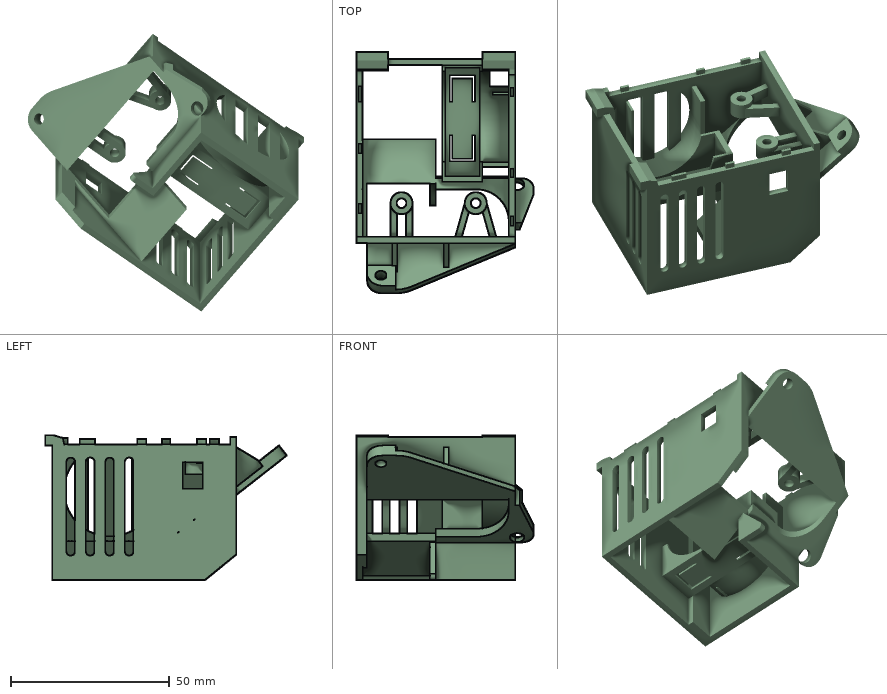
import cadquery as cq
import math

BODY_X = 50.25
BODY_Y = 58.2
WALL = 2.0
RIGHT_WALL = 2.15
RIGHT_INNER_X = BODY_X - RIGHT_WALL
BACK_INNER_Y = BODY_Y - WALL
SHELL_TOP = 42.9
FRONT_TOP = 45.3
CHAMFER_Y = 9.95
CHAMFER_Z = 8.1
CORNER_FILL_X = 3.35
CORNER_FILL_Y = 5.2

SLOPE = math.radians(38)
PLATE_T = 2.0
PLATE_FRONT_Z = 26.95
PLATE_RISE = PLATE_T / math.cos(SLOPE)
PLATE_SHIFT = PLATE_T * math.sin(SLOPE)
TRAY_RIGHT_X = 25.1
TRAY_END_Y = 32.8

CROSS_FRONT_Y = 19.3
CROSS_BACK_Y = 21.1
CROSS_TOP = 13.4

AXIS_Y = 39.95
AXIS_Z = 28.27
TROUGH_R = 14.45
TROUGH_WALL = 1.5
TROUGH_FRONT_TOP = 39.3
BOX_X0 = 27.1
BOX_X1 = 39.8
BOX_LIP = 0.9
BOX_TOP = 26.2
BOX_BOTTOM = AXIS_Z - TROUGH_R - TROUGH_WALL
BOX_FLOOR_T = 0.75
POCKET_Y0 = CROSS_BACK_Y
POCKET_Y1 = 55.4

CLIP_TOP = 45.8
CLIP_LOW = 42.5
CLIP_BACK_Y = 60.4
CLIP_FRONT_Y = AXIS_Y + TROUGH_R
CLIP_SPANS = ((0, 10.05), (BOX_X1, BODY_X))


def block(x0, x1, y0, y1, z0, z1):
    return cq.Workplane("XY").box(x1 - x0, y1 - y0, z1 - z0, centered=False).translate((x0, y0, z0))


def along_x(points, x0, x1):
    """Prism along X from an outline of (y, z) points."""
    return cq.Workplane("YZ", origin=(x0, 0, 0)).polyline(points).close().extrude(x1 - x0)


def rod_x(radius, x0, x1):
    """Cylinder on the trough axis."""
    return cq.Workplane("YZ", origin=(x0, AXIS_Y, AXIS_Z)).circle(radius).extrude(x1 - x0)


def plate_under(y):
    return PLATE_FRONT_Z - y * math.tan(SLOPE)


def plate_over(y):
    return plate_under(y) + PLATE_RISE


def plate_plane():
    """Workplane on the plate underside; local x is X, local y runs down the slope."""
    normal = (0, math.sin(SLOPE), math.cos(SLOPE))
    return cq.Workplane(cq.Plane(origin=(0, 0, PLATE_FRONT_Z), xDir=(1, 0, 0), normal=normal))


def left_wall():
    outline = [(0, CHAMFER_Z), (CHAMFER_Y, 0), (BODY_Y, 0), (BODY_Y, SHELL_TOP), (0, SHELL_TOP)]
    wall = along_x(outline, 0, WALL)

    slot_width, slot_pitch, slot_low, slot_high = 2.7, 6.16, 7.76, 38.7
    last_slot_y = 52.35
    slot_mid = (slot_low + slot_high) / 2
    for index in range(4):
        slot = (cq.Workplane("YZ").center(last_slot_y - index * slot_pitch, slot_mid)
                .slot2D(slot_high - slot_low, slot_width, 90).extrude(WALL))
        wall = wall.cut(slot)

    window_y, window_z = (10.7, 16.95), (28.9, 37.3)
    return wall.cut(block(0, WALL, *window_y, *window_z))


def corner_fill():
    """Thick front left corner below the plate, down to the chamfer."""
    chamfer_z = CHAMFER_Z * (1 - CORNER_FILL_Y / CHAMFER_Y)
    outline = [(0, CHAMFER_Z), (CORNER_FILL_Y, chamfer_z),
               (CORNER_FILL_Y, plate_over(CORNER_FILL_Y)), (0, plate_over(0))]
    return along_x(outline, 0, CORNER_FILL_X)


def right_wall():
    outline = [(0, plate_under(0)), (CROSS_FRONT_Y, plate_under(CROSS_FRONT_Y)), (CROSS_FRONT_Y, 0),
               (BODY_Y, 0), (BODY_Y, SHELL_TOP), (0, SHELL_TOP)]
    wall = along_x(outline, RIGHT_INNER_X, BODY_X)

    bar, bar_pitch, grille_top = 4.0, 8.9, 39.7
    grille = rod_x(TROUGH_R, RIGHT_INNER_X, BODY_X)
    grille = grille.cut(block(RIGHT_INNER_X, BODY_X, 0, BODY_Y, grille_top, SHELL_TOP))
    for index in (-1, 0, 1):
        y = AXIS_Y + index * bar_pitch
        grille = grille.cut(block(RIGHT_INNER_X, BODY_X, y - bar / 2, y + bar / 2, 0, SHELL_TOP))
    wall = wall.cut(grille)

    fin_y = AXIS_Y + bar_pitch - bar / 2
    fin_x, fin_thick = 43.05, 0.75
    fin = block(fin_x, RIGHT_INNER_X, fin_y, fin_y + fin_thick, AXIS_Z - TROUGH_R, TROUGH_FRONT_TOP)
    return wall.union(fin)


def front_wall():
    outline = [(0, plate_under(0)), (WALL, plate_under(WALL)), (WALL, FRONT_TOP), (0, FRONT_TOP)]
    wall = along_x(outline, 0, BODY_X)
    return wall.union(block(0, CORNER_FILL_X, 0, WALL, CHAMFER_Z, FRONT_TOP))


def back_wall():
    wall = block(0, BODY_X, BACK_INNER_Y, BODY_Y, 0, SHELL_TOP)
    slot_width, slot_pitch, slot_low, slot_high = 3.0, 5.5, 7.76, 36.6
    first_slot_x = 6.6
    slot_mid = (slot_low + slot_high) / 2
    for index in range(3):
        slot = (cq.Workplane("XZ", origin=(0, BODY_Y, 0))
                .center(first_slot_x + index * slot_pitch, slot_mid)
                .slot2D(slot_high - slot_low, slot_width, 90).extrude(WALL))
        wall = wall.cut(slot)
    return wall


def clips():
    """Two hooked blocks on the back wall, and the small tab ahead of the right one."""
    flat_y, lip_y, lip_z = 57.7, 54.85, 44.95
    outline = [(CLIP_BACK_Y, CLIP_LOW), (CLIP_BACK_Y, CLIP_TOP), (flat_y, CLIP_TOP),
               (lip_y, lip_z), (CLIP_FRONT_Y, SHELL_TOP), (CLIP_FRONT_Y, CLIP_LOW)]
    body = along_x(outline, *CLIP_SPANS[0]).union(along_x(outline, *CLIP_SPANS[1]))
    tab_y = 53.2
    tab = block(RIGHT_INNER_X, BODY_X, tab_y, lip_y, SHELL_TOP, lip_z)
    return body.union(tab)


def wall_tabs():
    """Low locating tabs along the tops of the side walls."""
    tab_top, tab_thick = 44.65, 0.88
    left_x, left_spans = 0.68, ((9.45, 12.45), (28.45, 31.4), (44.65, 49.5))
    right_x, right_spans = 48.7, ((5.45, 8.45), (20.85, 23.55), (46.3, 49.0))
    tabs = cq.Workplane("XY")
    for x, spans in ((left_x, left_spans), (right_x, right_spans)):
        for y0, y1 in spans:
            tabs = tabs.union(block(x, x + tab_thick, y0, y1, SHELL_TOP, tab_top))
    return tabs


def inner_plate():
    """Inclined plate inside the shell with the large opening cut straight down through it."""
    tray = along_x([(0, plate_under(0)), (TRAY_END_Y, plate_under(TRAY_END_Y)),
                    (TRAY_END_Y, plate_over(TRAY_END_Y)), (0, plate_over(0))], WALL, TRAY_RIGHT_X)
    low_y = CROSS_FRONT_Y
    ramp = along_x([(0, plate_under(0)), (low_y, plate_under(low_y)),
                    (low_y + PLATE_SHIFT, plate_over(low_y + PLATE_SHIFT)), (0, plate_over(0))],
                   TRAY_RIGHT_X, BODY_X)
    left_end_y, right_end_y, corner_r = 18.8, 16.9, 10.0
    opening = (cq.Workplane("XY")
               .moveTo(CORNER_FILL_X, WALL).lineTo(CORNER_FILL_X, left_end_y)
               .lineTo(TRAY_RIGHT_X, left_end_y).lineTo(TRAY_RIGHT_X, right_end_y)
               .lineTo(RIGHT_INNER_X - corner_r, right_end_y)
               .radiusArc((RIGHT_INNER_X, right_end_y - corner_r), corner_r)
               .lineTo(RIGHT_INNER_X, WALL).close().extrude(FRONT_TOP))
    return tray.union(ramp).cut(opening)


def flange():
    """Outer part of the plate, with its thick mounting corner, hole and two ribs."""
    reach, corner_r = 20.2, 5.0
    left_x, boss_x = CORNER_FILL_X, 12.4
    bend_mid, bend_end = (14.75, 19.93), (16.95, 19.2)
    right_reach = 1.75
    plate = (plate_plane().moveTo(left_x, 0).lineTo(left_x, corner_r - reach)
             .radiusArc((left_x + corner_r, -reach), -corner_r)
             .lineTo(boss_x, -reach)
             .threePointArc((bend_mid[0], -bend_mid[1]), (bend_end[0], -bend_end[1]))
             .lineTo(BODY_X, -right_reach).lineTo(BODY_X, 0).close().extrude(PLATE_T))

    boss_reach, boss_t = 12.1, 4.0
    boss = (plate_plane().moveTo(left_x, -boss_reach).lineTo(left_x, corner_r - reach)
            .radiusArc((left_x + corner_r, -reach), -corner_r)
            .lineTo(boss_x, -reach).lineTo(boss_x, -boss_reach).close().extrude(boss_t))

    rib_top, rib_thick = 42.05, 1.5
    body = plate.union(boss)
    for rib_x, rib_reach in ((11.4, 9.0), (27.6, 7.6)):
        outline = [(0, rib_top), (-rib_reach, plate_over(-rib_reach)), (0, plate_over(0))]
        body = body.union(along_x(outline, rib_x, rib_x + rib_thick))

    hole_d, hole_x, hole_reach = 3.5, 7.75, 16.0
    hole = plate_plane().center(hole_x, -hole_reach).circle(hole_d / 2).extrude(boss_t)
    return body.cut(hole)


def ear_hole():
    """Hole square to the plate, running partly under the right wall."""
    hole_d, hole_x, hole_down = 4.5, 50.75, 21.95
    return plate_plane().center(hole_x, hole_down).circle(hole_d / 2).extrude(PLATE_T)


def ear():
    """Plate outside the right wall with an upright gusset at its high end."""
    tip_x, tip_y = 55.98, 15.3
    start_x, start_y = 51.55, 4.2
    round_r = 4.0
    low_end = CROSS_FRONT_Y / math.cos(SLOPE)
    plate = (plate_plane().moveTo(BODY_X, 0).lineTo(tip_x, 0).lineTo(tip_x, low_end - round_r)
             .radiusArc((tip_x - round_r, low_end), -round_r)
             .lineTo(BODY_X, low_end).close().extrude(PLATE_T))
    side = (cq.Workplane("XY")
            .polyline([(BODY_X, start_y), (start_x, start_y), (tip_x, tip_y),
                       (tip_x, TRAY_END_Y), (BODY_X, TRAY_END_Y)])
            .close().extrude(FRONT_TOP))

    back_y, back_z, depth = 6.4, 30.2, 6.0
    fall, tilt = math.radians(38), math.radians(18.5)
    top_plane = cq.Plane(origin=(BODY_X, back_y, back_z), xDir=(1, 0, 0),
                         normal=(0, -math.cos(tilt), -math.sin(tilt)))
    width = tip_x - BODY_X
    sloped = (cq.Workplane(top_plane)
              .polyline([(0, 0), (width, -width * math.tan(fall)), (width, -back_z), (0, -back_z)])
              .close().extrude(depth))
    above = along_x([(start_y, plate_under(start_y)), (back_y, plate_under(back_y)),
                     (back_y, FRONT_TOP), (start_y, FRONT_TOP)], BODY_X, tip_x)
    return plate.intersect(side).union(sloped.intersect(above).intersect(side))


def cross_wall():
    """Upright wall under the plate and the sloped-front rib at its left end."""
    wall = block(TRAY_RIGHT_X, BODY_X, CROSS_FRONT_Y, CROSS_BACK_Y, 0, CROSS_TOP)
    rib_thick, rib_root_y, rib_toe_y, rib_toe_z, toe_r = 1.9, 19.2, 11.8, 2.0, 1.2
    rib = (cq.Workplane("YZ", origin=(TRAY_RIGHT_X - rib_thick, 0, 0))
           .moveTo(CROSS_BACK_Y, 0).lineTo(rib_toe_y + toe_r, 0)
           .radiusArc((rib_toe_y, toe_r), toe_r)
           .lineTo(rib_toe_y, rib_toe_z).lineTo(rib_root_y, plate_under(rib_root_y))
           .lineTo(CROSS_BACK_Y, plate_under(CROSS_BACK_Y)).close().extrude(rib_thick))
    return wall.union(rib)


def trough():
    """U-shaped trough against the right wall; its rear side runs up into the right clip."""
    outer_r = TROUGH_R + TROUGH_WALL
    front_y = AXIS_Y - outer_r
    body = rod_x(outer_r, BOX_X1, RIGHT_INNER_X)
    body = body.intersect(block(BOX_X1, RIGHT_INNER_X, front_y, BODY_Y, 0, AXIS_Z))
    body = body.union(block(BOX_X1, RIGHT_INNER_X, front_y, AXIS_Y, AXIS_Z, TROUGH_FRONT_TOP))
    body = body.cut(rod_x(TROUGH_R, BOX_X1, RIGHT_INNER_X))
    body = body.cut(block(BOX_X1, RIGHT_INNER_X, AXIS_Y - TROUGH_R, AXIS_Y + TROUGH_R, AXIS_Z, FRONT_TOP))
    notch_x, notch_y = 42.15, (49.5, 54.37)
    post = block(BOX_X1, RIGHT_INNER_X, CLIP_FRONT_Y, BACK_INNER_Y, 0, SHELL_TOP)
    return body.cut(block(notch_x, RIGHT_INNER_X, *notch_y, 0, AXIS_Z)).union(post)


def box():
    """Thin-walled box whose side lips follow the trough bore; two U cuts free spring tongues."""
    body = block(BOX_X0, BOX_X1, CROSS_FRONT_Y, BACK_INNER_Y, BOX_BOTTOM, BOX_TOP)
    floor_z = BOX_BOTTOM + BOX_FLOOR_T
    body = body.cut(block(BOX_X0 + BOX_LIP, BOX_X1 - BOX_LIP, POCKET_Y0, POCKET_Y1, floor_z, BOX_TOP))
    body = body.cut(rod_x(TROUGH_R, BOX_X0, BOX_X1))

    cut_x0, cut_x1, leg = 29.5, 37.4, 0.75
    for root_y, tip_y, end_cut_y in ((44.7, 53.0, 52.0), (34.0, 25.9, 26.6)):
        low_y, high_y = sorted((root_y, tip_y))
        for x in (cut_x0, cut_x1 - leg):
            body = body.cut(block(x, x + leg, low_y, high_y, BOX_BOTTOM, floor_z))
        low_y, high_y = sorted((tip_y, end_cut_y))
        body = body.cut(block(cut_x0, cut_x1, low_y, high_y, BOX_BOTTOM, floor_z))
    return body


def screw_posts():
    """Two screw eyes carried on pairs of legs from the front wall."""
    post_d, hole_d, post_y = 7.0, 3.0, 12.6
    post_z0, post_z1, leg_z1 = 33.45, 38.65, 37.0
    leg = 2.15
    posts = cq.Workplane("XY")
    for x, spread in ((14.25, 0), (37.7, 3.0)):
        post = (cq.Workplane("XY", origin=(x, post_y, post_z0))
                .circle(post_d / 2).extrude(post_z1 - post_z0))
        for side in (-1, 1):
            outer, inner = side * post_d / 2, side * (post_d / 2 - leg)
            outline = [(x + outer, post_y), (x + outer + side * spread, WALL),
                       (x + inner + side * spread, WALL), (x + inner, post_y)]
            legs = (cq.Workplane("XY", origin=(0, 0, post_z0)).polyline(outline).close()
                    .extrude(leg_z1 - post_z0))
            post = post.union(legs)
        hole = (cq.Workplane("XY", origin=(x, post_y, post_z0))
                .circle(hole_d / 2).extrude(post_z1 - post_z0))
        posts = posts.union(post.cut(hole))
    return posts


result = left_wall()
for piece in (corner_fill(), right_wall(), front_wall(), back_wall(), inner_plate(), cross_wall(), box(),
              trough(), clips(), wall_tabs(), screw_posts(), flange(), ear()):
    result = result.union(piece)
result = result.cut(ear_hole())